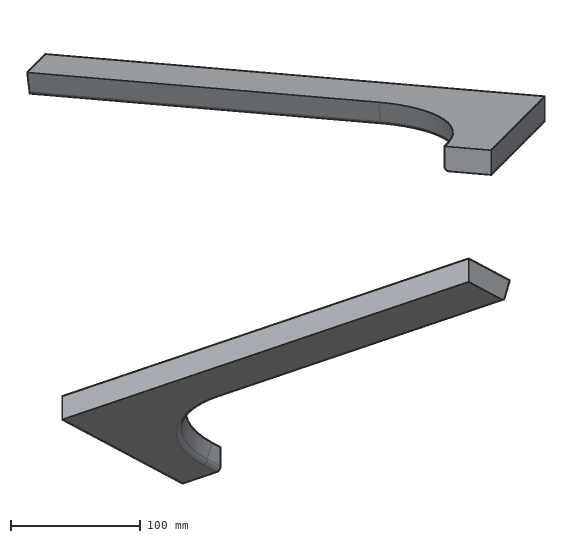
import cadquery as cq
import math

tilt = 3.0
thickness = 20.0
total_width = 409.2
total_depth = 151.0
leg_width = 37.5
arm_width = 51.0
inner_radius = 82.0
undercut_angle = 20.0
edge_radius = 4.0
overcut = 20.5

tilt_radians = math.radians(tilt)
leg_length = (total_depth - leg_width * math.sin(tilt_radians)) / math.cos(tilt_radians)
arm_length = (total_width - leg_length * math.sin(tilt_radians)) / math.cos(tilt_radians)
undercut = thickness * math.tan(math.radians(undercut_angle))


def make_plate():
    """Rectangular blank with its outer corner at the origin and its top at full thickness."""
    return cq.Workplane("XY").box(arm_length, leg_length, thickness, centered=False).translate(
        (-arm_length, -leg_length, 0)
    )


def make_opening():
    """Oblique prism with a round inside corner, its axis leaning away from the arm toward the top."""
    lean = math.radians(undercut_angle)
    tilted_plane = cq.Plane(
        origin=(-leg_width, -arm_width, thickness),
        xDir=(1, 0, 0),
        normal=(0, -math.sin(lean), math.cos(lean)),
    )
    left = leg_width - arm_length - overcut
    bottom = -leg_length
    return (
        cq.Workplane(tilted_plane)
        .moveTo(left, bottom)
        .lineTo(left, 0)
        .lineTo(-inner_radius, 0)
        .radiusArc((0, -inner_radius), inner_radius)
        .lineTo(0, bottom)
        .close()
        .extrude(2 * leg_length, both=True)
    )


def round_inner_edge(body):
    """Round the bottom edge along the arm, the inside corner and the leg."""
    arm_edge_middle = -(arm_length + leg_width + inner_radius) / 2
    arm_edge_point = (arm_edge_middle, -arm_width + undercut, 0)
    return body.edges(cq.selectors.NearestToPointSelector(arm_edge_point)).fillet(edge_radius)


bracket = round_inner_edge(make_plate().cut(make_opening()))
result = bracket.rotate((0, 0, 0), (0, 0, 1), tilt)